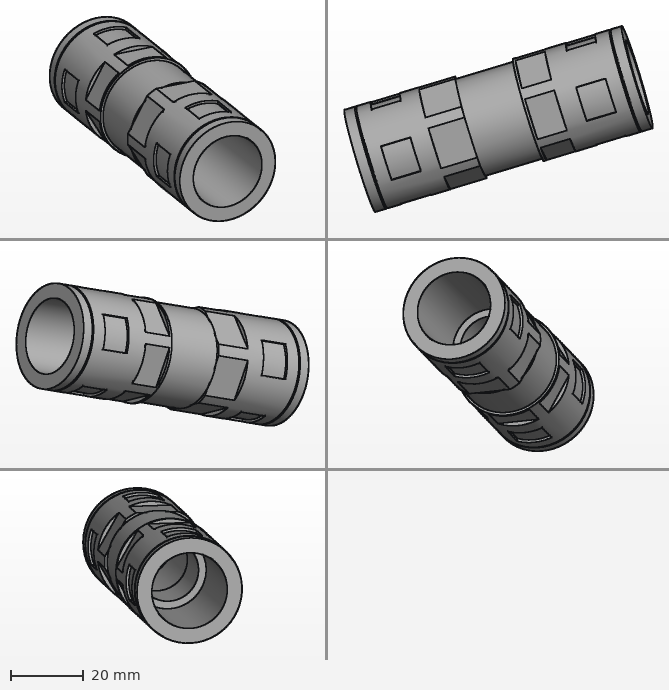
import cadquery as cq

length = 80.0
outer_diameter = 29.5
neck_diameter = 28.0
groove_diameter = 22.9
socket_diameter = 21.2
passage_diameter = 17.0
clearance_diameter = 1.2 * outer_diameter

neck_start = 31.4
neck_end = 48.0

collar_width = 3.0
groove_width = 0.5

window_offset = 7.6
window_length = 8.5
window_width = 9.9
window_count = 4

across_flats = 27.0
flat_count = 6
left_flats_start = 22.1
left_flats_length = 8.5
right_flats_start = neck_end
right_flats_length = 10.4


def cylinder(start, span, diameter):
    """Solid cylinder along X."""
    return cq.Workplane("YZ", origin=(start, 0, 0)).circle(diameter / 2).extrude(span)


def recess(start, span, floor_diameter):
    """Ring of material between the floor diameter and the clearance diameter."""
    return cylinder(start, span, clearance_diameter).cut(cylinder(start, span, floor_diameter))


def latch_windows(start):
    """Cutters for the curved-floor windows spaced evenly around the tube."""
    ring = recess(start, window_length, neck_diameter)
    first_window = (
        cq.Workplane("XY", origin=(start, 0, 0))
        .rect(2 * window_length, window_width)
        .extrude(outer_diameter)
        .intersect(ring)
    )
    windows = first_window
    for index in range(1, window_count):
        windows = windows.union(first_window.rotate((0, 0, 0), (1, 0, 0), index * 360 / window_count))
    return windows


def wrench_flats(start, span):
    """Cutter that leaves a hexagon with flats facing +Z and -Z."""
    hexagon = (
        cq.Workplane("YZ", origin=(start, 0, 0))
        .polygon(flat_count, across_flats, circumscribed=True)
        .extrude(span)
        .rotate((0, 0, 0), (1, 0, 0), 180 / flat_count)
    )
    return cylinder(start, span, clearance_diameter).cut(hexagon)


body = cylinder(0, length, outer_diameter)
body = body.cut(recess(neck_start, neck_end - neck_start, neck_diameter))

for groove_start in (collar_width, length - collar_width - groove_width):
    body = body.cut(recess(groove_start, groove_width, groove_diameter))
for window_start in (window_offset, length - window_offset - window_length):
    body = body.cut(latch_windows(window_start))

body = body.cut(wrench_flats(left_flats_start, left_flats_length))
body = body.cut(wrench_flats(right_flats_start, right_flats_length))

body = body.cut(cylinder(0, length, passage_diameter))
body = body.cut(cylinder(0, neck_start, socket_diameter))
body = body.cut(cylinder(neck_end, length - neck_end, socket_diameter))

result = body